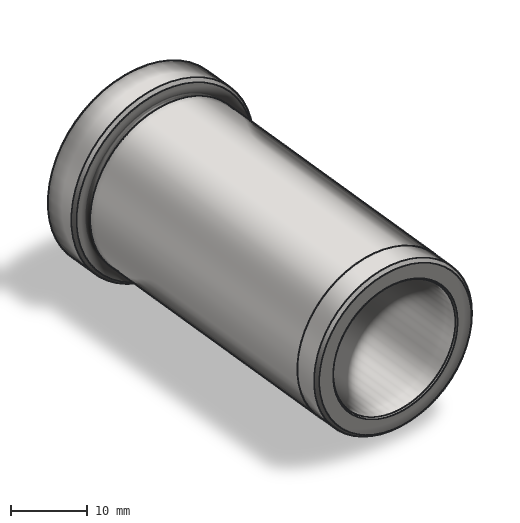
import cadquery as cq

length = 55.0
flange_diameter = 30.0
flange_width = 6.0
body_diameter = 26.0
bore_diameter = 20.0

pilot_length = 4.0
pilot_diameter = 25.95

groove_radius = 0.5

outer_chamfer = 0.5
bore_chamfer = 0.2

flange_radius = flange_diameter / 2
body_radius = body_diameter / 2
pilot_radius = pilot_diameter / 2
bore_radius = bore_diameter / 2
pilot_start = length - pilot_length


def make_outer_body():
    """Revolve the outside outline, drawn as (axial position, radius), about X."""
    outline = (
        cq.Workplane("XY")
        .moveTo(0, 0)
        .lineTo(0, flange_radius - outer_chamfer)
        .lineTo(outer_chamfer, flange_radius)
        .lineTo(flange_width - outer_chamfer, flange_radius)
        .lineTo(flange_width, flange_radius - outer_chamfer)
        .lineTo(flange_width, body_radius)
        .threePointArc(
            (flange_width + groove_radius, body_radius - groove_radius),
            (flange_width + 2 * groove_radius, body_radius),
        )
        .lineTo(pilot_start, body_radius)
        .lineTo(pilot_start, pilot_radius)
        .lineTo(length - outer_chamfer, pilot_radius)
        .lineTo(length, pilot_radius - outer_chamfer)
        .lineTo(length, 0)
        .close()
    )
    return outline.revolve(360, (0, 0, 0), (1, 0, 0))


def make_bore():
    """Through bore, widened by a small chamfer at both ends."""
    mouth_radius = bore_radius + bore_chamfer
    outline = (
        cq.Workplane("XY")
        .moveTo(0, 0)
        .lineTo(0, mouth_radius)
        .lineTo(bore_chamfer, bore_radius)
        .lineTo(length - bore_chamfer, bore_radius)
        .lineTo(length, mouth_radius)
        .lineTo(length, 0)
        .close()
    )
    return outline.revolve(360, (0, 0, 0), (1, 0, 0))


result = make_outer_body().cut(make_bore())